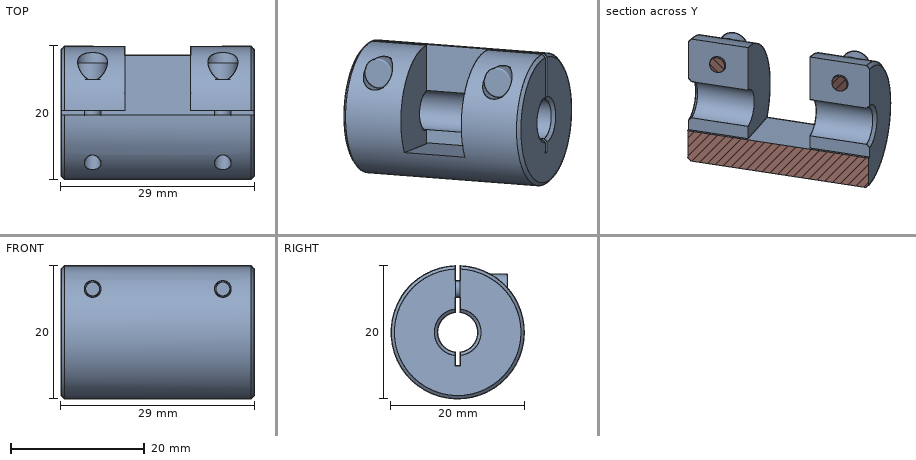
import cadquery as cq

length = 29.0
outer_diameter = 20.0
bore_diameter = 6.0
edge_chamfer = 0.5

slot_width = 0.7
slot_floor_z = -5.0
jaw_gap = 9.9

screw_spacing = 19.55
screw_z = 6.5
shank_diameter = 2.5
head_diameter = 4.5
head_height = 2.5
head_seat_y = 5.0
head_fillet = 0.25
shank_length = 10.0
tip_chamfer = 0.2

outer_radius = outer_diameter / 2
screw_positions = [-screw_spacing / 2, screw_spacing / 2]


def cylinder_along_y(x, start_y, diameter, extent):
    """Cylinder on a screw axis, running from start_y toward +Y."""
    axis_start = cq.Vector(x, start_y, screw_z)
    solid = cq.Solid.makeCylinder(diameter / 2, extent, axis_start, cq.Vector(0, 1, 0))
    return cq.Workplane(obj=solid)


def make_hub():
    """Bored cylinder with chamfered ends, slot, jaw gap and screw holes."""
    hub = (
        cq.Workplane("YZ")
        .circle(outer_radius)
        .circle(bore_diameter / 2)
        .extrude(length / 2, both=True)
        .faces("<X or >X")
        .chamfer(edge_chamfer)
    )

    cut_height = outer_radius - slot_floor_z
    slot = cq.Workplane("XY", origin=(0, 0, slot_floor_z)).box(
        length, slot_width, cut_height, centered=(True, True, False)
    )

    gap = cq.Workplane("XY", origin=(0, 0, slot_floor_z)).box(
        jaw_gap, outer_radius, cut_height, centered=(True, False, False)
    )
    hub = hub.cut(slot).cut(gap)

    for x in screw_positions:
        hub = hub.cut(cylinder_along_y(x, -outer_radius, shank_diameter, outer_diameter))
        hub = hub.cut(cylinder_along_y(x, head_seat_y, head_diameter, outer_radius))
    return hub


def make_screw(x):
    """Cap screw with a rounded head rim and a chamfered tip."""
    head = cylinder_along_y(x, head_seat_y, head_diameter, head_height)
    head = head.faces(">Y").fillet(head_fillet)
    shank = cylinder_along_y(x, head_seat_y - shank_length, shank_diameter, shank_length)
    shank = shank.faces("<Y").chamfer(tip_chamfer)
    return head.union(shank)


hub = make_hub()
screws = [make_screw(x) for x in screw_positions]

result = cq.Compound.makeCompound([hub.val(), *[screw.val() for screw in screws]])